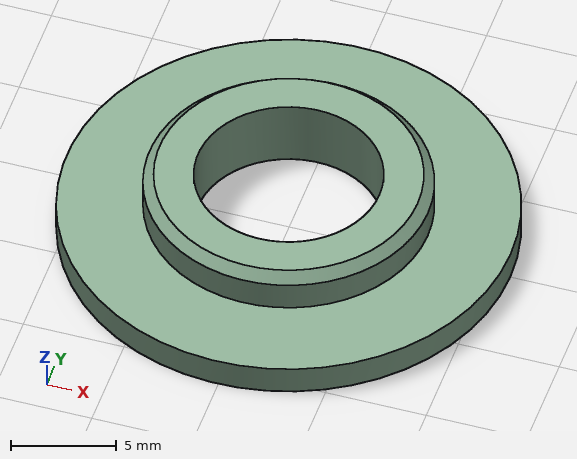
import cadquery as cq

flange_diameter = 22.0
collar_diameter = 13.8
bore_diameter = 9.0
total_height = 3.5
flange_thickness = 1.5
chamfer_size = 0.5

collar_height = total_height - flange_thickness


def make_flange():
    return cq.Workplane("XY").circle(flange_diameter / 2).extrude(flange_thickness)


def make_collar():
    """Collar standing on the flange, with its top outer edge chamfered."""
    collar = cq.Workplane("XY").workplane(offset=flange_thickness)
    collar = collar.circle(collar_diameter / 2).extrude(collar_height)
    return collar.faces(">Z").edges().chamfer(chamfer_size)


def make_bore():
    return cq.Workplane("XY").circle(bore_diameter / 2).extrude(total_height)


result = make_flange().union(make_collar()).cut(make_bore())